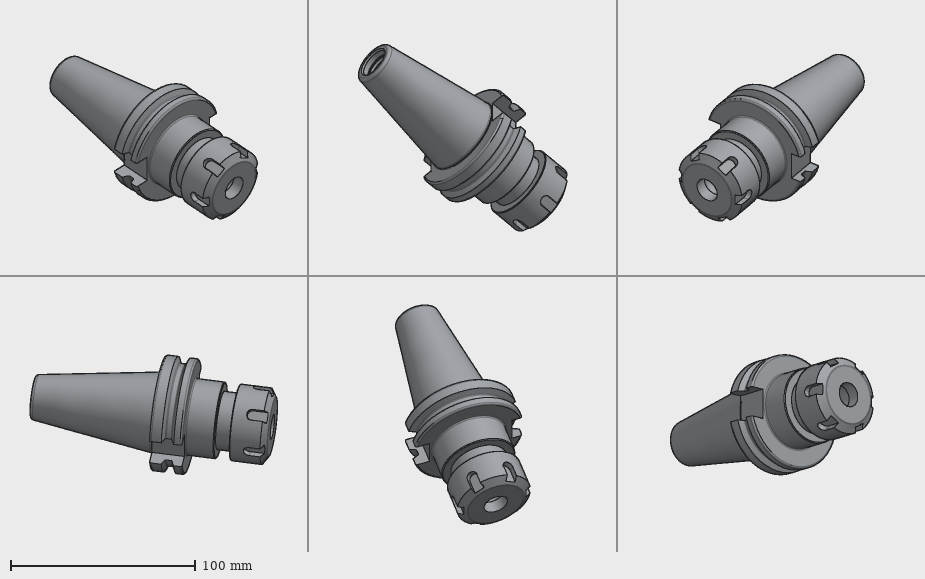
import cadquery as cq
import math

total_length = 131.8
taper_length = 68.0
flange_start = 69.3
flange_end = 87.2
collar_end = 103.3
nut_start = 111.6
neck_end = 124.8

gauge_diameter = 44.4
taper_ratio = 7 / 24
shank_fillet = 2.0
shank_root_fillet = 0.4
small_end_diameter = gauge_diameter - taper_ratio * taper_length

flange_diameter = 63.4
flange_rim_fillet = 1.0
groove_diameter = 56.3
groove_center = 79.3
groove_floor_width = 3.4
groove_mouth_width = 6.9
groove_floor_fillet = 0.5
drive_slot_width = 16.5
shallow_slot_floor = 24.6
deep_slot_floor = 22.5

collar_diameter = 42.0
collar_root_fillet = 0.7
collar_chamfer = 0.5
neck_diameter = 32.0

mouth_diameter = 18.0
mouth_chamfer_length = 1.0
counterbore_diameter = 16.7
counterbore_depth = 4.3
thread_mouth_diameter = 16.3
thread_diameter = 15.8
thread_end = 5.1
bore_diameter = 13.5

nut_diameter = collar_diameter
nut_face_diameter = 32.4
nut_cone_length = 3.2
nut_back_chamfer = 0.4
nut_face_fillet = 0.7
wrench_slot_count = 6
wrench_slot_width = 6.0
wrench_slot_start = 119.5
wrench_slot_floor = 17.8


def revolve_about_x(points):
    """Solid of revolution about X from (x, radius) points that close along the axis."""
    return cq.Workplane("XY").polyline(points).close().revolve(360, (0, 0, 0), (1, 0, 0))


def cylinder_along_x(diameter, start, end):
    return cq.Workplane("YZ", origin=(start, 0, 0)).circle(diameter / 2).extrude(end - start)


def make_shank():
    radius = gauge_diameter / 2
    root_start = flange_start - shank_root_fillet
    root_radius = radius + shank_root_fillet
    fillet_middle = shank_root_fillet * (1 - math.sqrt(0.5))
    shank = (
        cq.Workplane("XY")
        .lineTo(0, small_end_diameter / 2)
        .lineTo(taper_length, radius)
        .lineTo(root_start, radius)
        .threePointArc((flange_start - fillet_middle, radius + fillet_middle), (flange_start, root_radius))
        .lineTo(flange_start, 0)
        .close()
        .revolve(360, (0, 0, 0), (1, 0, 0))
    )
    return shank.faces("<X").edges().fillet(shank_fillet)


def make_flange():
    flange = cylinder_along_x(flange_diameter, flange_start, flange_end)
    flange = flange.edges().fillet(flange_rim_fillet)
    return flange.cut(make_groove()).cut(make_drive_slots())


def make_groove():
    """Ring with a V section and a flat floor that has rounded corners."""
    rim = flange_diameter / 2
    floor = groove_diameter / 2
    groove = revolve_about_x([
        (groove_center - groove_mouth_width / 2, rim),
        (groove_center - groove_floor_width / 2, floor),
        (groove_center + groove_floor_width / 2, floor),
        (groove_center + groove_mouth_width / 2, rim),
    ])
    floor_edges = groove.edges(cq.selectors.RadiusNthSelector(0))
    return floor_edges.fillet(groove_floor_fillet)


def make_drive_slots():
    slots = cq.Workplane("XY")
    for side, floor in ((1, shallow_slot_floor), (-1, deep_slot_floor)):
        depth = flange_diameter / 2 - floor
        slot = cq.Workplane("XY").box(flange_end - flange_start, depth, drive_slot_width)
        center = ((flange_start + flange_end) / 2, side * (floor + depth / 2), 0)
        slots = slots.add(slot.translate(center))
    return slots.combine()


def make_collar():
    """Collar with a concave fillet where it leaves the flange."""
    radius = collar_diameter / 2
    root_radius = radius + collar_root_fillet
    fillet_middle = collar_root_fillet * (1 - math.sqrt(0.5))
    return (
        cq.Workplane("XY")
        .moveTo(flange_start, 0)
        .lineTo(flange_start, radius)
        .lineTo(flange_end, radius)
        .lineTo(flange_end, root_radius)
        .threePointArc(
            (flange_end + fillet_middle, radius + fillet_middle),
            (flange_end + collar_root_fillet, radius),
        )
        .lineTo(collar_end - collar_chamfer, radius)
        .lineTo(collar_end, radius - collar_chamfer)
        .lineTo(collar_end, 0)
        .close()
        .revolve(360, (0, 0, 0), (1, 0, 0))
    )


def make_holder_bore():
    """Stepped bore: chamfered mouth, counterbore, thread hole and through bore."""
    counterbore_radius = counterbore_diameter / 2
    thread_radius = thread_diameter / 2
    bore_radius = bore_diameter / 2
    thread_mouth_radius = thread_mouth_diameter / 2
    thread_start = counterbore_depth + thread_mouth_radius - thread_radius
    bore_start = thread_end + thread_radius - bore_radius
    return revolve_about_x([
        (0, 0),
        (0, mouth_diameter / 2),
        (mouth_chamfer_length, counterbore_radius),
        (counterbore_depth, counterbore_radius),
        (counterbore_depth, thread_mouth_radius),
        (thread_start, thread_radius),
        (thread_end, thread_radius),
        (bore_start, bore_radius),
        (neck_end, bore_radius),
        (neck_end, 0),
    ])


def make_holder():
    neck = cylinder_along_x(neck_diameter, collar_end, neck_end)
    holder = make_shank().union(make_flange()).union(make_collar()).union(neck)
    return holder.cut(make_holder_bore())


def make_wrench_slot(angle):
    """Flat-bottomed slot with a round end, open at the nut's front face."""
    round_radius = wrench_slot_width / 2
    round_center = wrench_slot_start + round_radius
    slot = (
        cq.Workplane("XY", origin=(0, 0, wrench_slot_floor))
        .moveTo(total_length, -round_radius)
        .lineTo(round_center, -round_radius)
        .threePointArc((wrench_slot_start, 0), (round_center, round_radius))
        .lineTo(total_length, round_radius)
        .close()
        .extrude(nut_diameter / 2 - wrench_slot_floor)
    )
    return slot.rotate((0, 0, 0), (1, 0, 0), angle)


def make_nut():
    radius = nut_diameter / 2
    nut = revolve_about_x([
        (nut_start, 0),
        (nut_start, radius - nut_back_chamfer),
        (nut_start + nut_back_chamfer, radius),
        (total_length - nut_cone_length, radius),
        (total_length, nut_face_diameter / 2),
        (total_length, 0),
    ])
    nut = nut.faces(">X").edges().fillet(nut_face_fillet)
    nut = nut.cut(cylinder_along_x(neck_diameter, nut_start, neck_end))
    nut = nut.cut(cylinder_along_x(bore_diameter, nut_start, total_length))
    first_angle = 90
    for index in range(wrench_slot_count):
        nut = nut.cut(make_wrench_slot(first_angle + index * 360 / wrench_slot_count))
    return nut


holder = make_holder()
nut = make_nut()

result = cq.Compound.makeCompound([holder.val(), nut.val()])